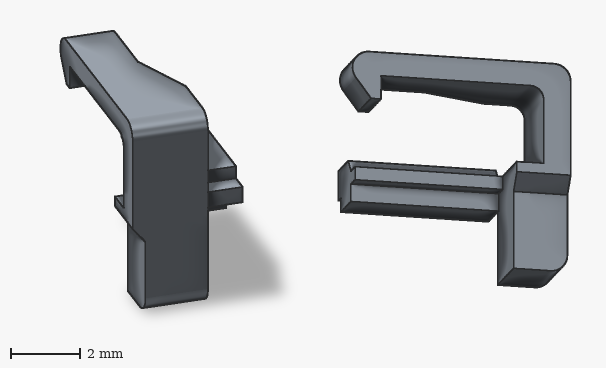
import cadquery as cq
import math

length = 6.5
height = 6.1
body_depth = 2.3
rail_back = 3.7

corner_radius = 0.5
inner_radius = 0.4
beam_underside = 5.395
post_inner = 5.695
seat_height = 3.095
foot_left = 4.895
lip_bottom = 4.7
lip_left = 0.55
lip_right = 0.85

relief_depth = 0.39
relief_bottom = 2.3
relief_top = 2.79

narrow_depth = 1.51
taper_start = 2.52
taper_end = 4.5

rail_left = 0.5
rail_top = 3.485
rail_bottom = 2.185
flange_front = 1.69
flange_bottom = 2.705
stem_front = 2.185
bevel_back = 2.495
step_height = 2.6
stem_back = 3.405
shelf_right = 5.49
shelf_fillet = 0.4


def clip_body():
    """Hook, beam, post and foot as one profile extruded from the front face."""
    nose_x = corner_radius
    nose_z = height - corner_radius
    dx = lip_left - nose_x
    dz = lip_bottom - nose_z
    tangent_angle = math.atan2(dz, dx) - math.acos(corner_radius / math.hypot(dx, dz))
    middle_angle = (math.pi / 2 + tangent_angle + 2 * math.pi) / 2

    def nose_point(angle):
        return (nose_x + corner_radius * math.cos(angle), nose_z + corner_radius * math.sin(angle))

    profile = (
        cq.Workplane("XZ")
        .moveTo(nose_x, height)
        .threePointArc(nose_point(middle_angle), nose_point(tangent_angle))
        .lineTo(lip_left, lip_bottom)
        .lineTo(lip_right, lip_bottom)
        .lineTo(lip_right, beam_underside)
        .lineTo(post_inner - inner_radius, beam_underside)
        .radiusArc((post_inner, beam_underside - inner_radius), inner_radius)
        .lineTo(post_inner, seat_height)
        .lineTo(foot_left, seat_height)
        .lineTo(foot_left, 0)
        .lineTo(length - corner_radius, 0)
        .radiusArc((length, corner_radius), -corner_radius)
        .lineTo(length, height - corner_radius)
        .radiusArc((length - corner_radius, height), -corner_radius)
        .close()
    )
    return profile.extrude(-body_depth)


def beam_taper():
    """Material removed behind the narrow end of the beam and hook."""
    outline = [
        (0, narrow_depth),
        (taper_start, narrow_depth),
        (taper_end, body_depth),
        (0, body_depth),
    ]
    return cq.Workplane("XY").polyline(outline).close().extrude(height)


def foot_relief():
    """Material removed from the front of the foot, with a sloped upper end."""
    outline = [
        (0, 0),
        (relief_depth, 0),
        (relief_depth, relief_bottom),
        (0, relief_top),
    ]
    return cq.Workplane("YZ").polyline(outline).close().extrude(length)


def rail():
    """Stepped rail ending against the left side of the foot."""
    section = [
        (flange_front, flange_bottom),
        (flange_front, seat_height),
        (stem_front, seat_height),
        (bevel_back, rail_top),
        (rail_back, rail_top),
        (rail_back, step_height),
        (stem_back, step_height),
        (stem_back, rail_bottom),
        (stem_front, rail_bottom),
        (stem_front, flange_bottom),
    ]
    return (
        cq.Workplane("YZ", origin=(rail_left, 0, 0))
        .polyline(section)
        .close()
        .extrude(foot_left - rail_left)
    )


def shelf():
    """Shelf level with the seat, blended into the back of the foot."""
    return (
        cq.Workplane("XY", origin=(0, 0, step_height))
        .moveTo(foot_left, body_depth)
        .lineTo(shelf_right + shelf_fillet, body_depth)
        .radiusArc((shelf_right, body_depth + shelf_fillet), shelf_fillet)
        .lineTo(shelf_right, rail_back)
        .lineTo(foot_left, rail_back)
        .close()
        .extrude(seat_height - step_height)
    )


body = clip_body().cut(beam_taper()).cut(foot_relief())
result = body.union(rail()).union(shelf())